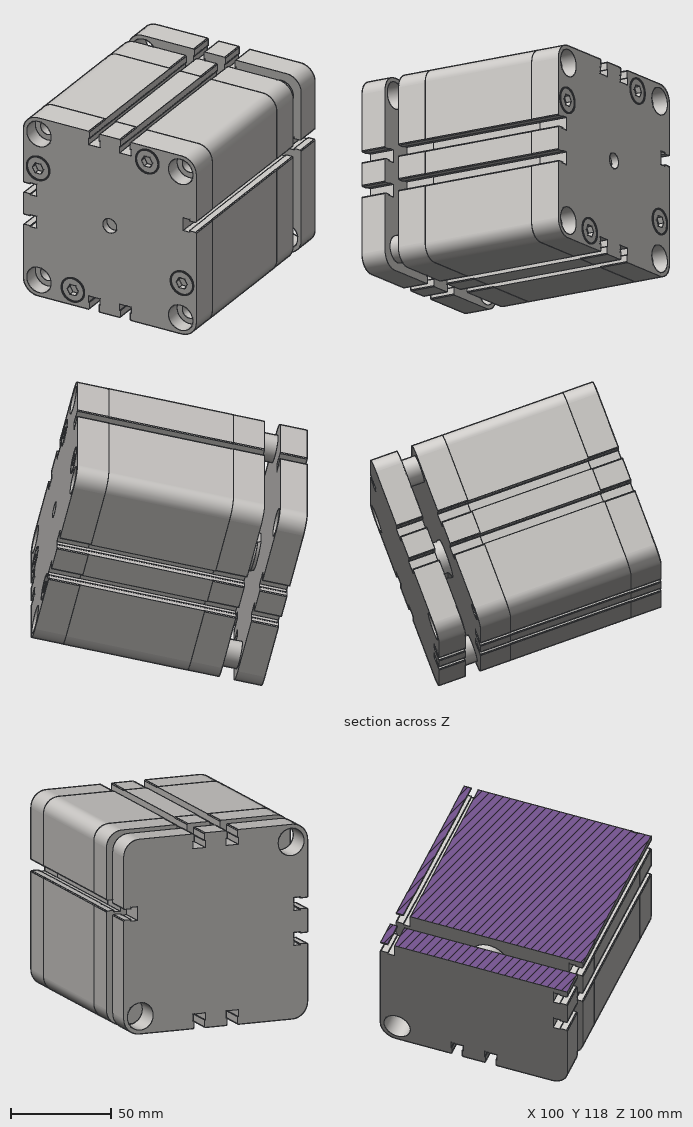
import cadquery as cq
import math


total_length = 118.0
rear_cap_length = 16.0
front_cap_length = 16.0
plate_thickness = 13.9
plate_gap = 8.0
plate_back = total_length - plate_thickness
front_cap_end = plate_back - plate_gap
barrel_end = front_cap_end - front_cap_length

cap_width = 100.0
cap_corner_radius = 8.5
barrel_inset = 0.1
barrel_width = cap_width - 2 * barrel_inset
barrel_corner_radius = 7.9

slot_depth = 7.5
lip_depth = 4.0
mouth_width = 5.5
mouth_chamfer = 0.5
groove_width = 6.6
wide_groove_width = 7.1
slot_offset = 9.0
single_slot_offset = 11.9

top_side = 0
bottom_side = 180
left_side = -90
right_side = 90

mount_offset = 41.0
mount_bore_diameter = 8.0
counterbore_diameter = 14.0
counterbore_depth = 8.5

guide_offset = 38.5
guide_diameter = 14.0

screw_edge_offset = 41.5
screw_side_offset = 21.5
screw_seat_diameter = 13.5
screw_head_diameter = 12.5
screw_groove_depth = 0.5
hex_across_flats = 5.5
hex_depth = 3.1

centre_hole_diameter = 8.0
centre_hole_depth = 4.0

rod_diameter = 20.0
rod_across_flats = 17.0
rod_flat_length = 6.0
rod_tip_reduction = 0.6
rod_tip_length = 1.7


def section_at(y):
    """Sketch plane across the axis, with sketch axes X and Z; negative extrusion goes toward +Y."""
    return cq.Workplane("XZ", origin=(0, y, 0))


def cylinders(points, diameter, y_start, y_end):
    return section_at(y_start).pushPoints(points).circle(diameter / 2).extrude(y_start - y_end)


def t_slot(y_start, y_end, face, offset, side_angle, inner_width, chamfered):
    """T-slot cutter sunk in a +Z face, shifted along X, then turned about Y to its side."""
    half_mouth = mouth_width / 2
    half_inner = inner_width / 2
    half_opening = half_mouth + (mouth_chamfer if chamfered else 0)
    half_profile = [
        (half_opening, face),
        (half_mouth, face - mouth_chamfer),
        (half_mouth, face - lip_depth),
        (half_inner, face - lip_depth),
        (half_inner, face - slot_depth),
    ]
    right_points = [(offset + x, z) for x, z in half_profile]
    left_points = [(offset - x, z) for x, z in reversed(half_profile)]
    cutter = section_at(y_start).polyline(right_points + left_points).close().extrude(y_start - y_end)
    return cutter.rotate((0, 0, 0), (0, 1, 0), side_angle)


def slotted_block(y_start, y_end, width, corner_radius, chamfered_sides):
    """Rounded square block with slot pairs on three sides and one wider slot on +X."""
    block = section_at(y_start).rect(width, width).extrude(y_start - y_end)
    block = block.edges("|Y").fillet(corner_radius)
    slots = [
        (side, offset, groove_width)
        for side in (top_side, bottom_side, left_side)
        for offset in (-slot_offset, slot_offset)
    ]
    slots.append((right_side, -single_slot_offset, wide_groove_width))
    for side, offset, inner_width in slots:
        chamfered = side in chamfered_sides
        block = block.cut(t_slot(y_start, y_end, width / 2, offset, side, inner_width, chamfered))
    return block


def piston_rod():
    """Round rod with a tapered tip at the plate and two wrench flats that run out at 45 degrees."""
    radius = rod_diameter / 2
    half_flats = rod_across_flats / 2
    flat_rise = radius - half_flats
    flat_end = plate_back - rod_flat_length
    rod = (
        cq.Workplane("XY")
        .moveTo(0, front_cap_end)
        .lineTo(radius, front_cap_end)
        .lineTo(radius, plate_back - rod_tip_length)
        .lineTo(radius - rod_tip_reduction, plate_back)
        .lineTo(0, plate_back)
        .close()
        .revolve(360, (0, 0, 0), (0, 1, 0))
    )
    flat_cutter = (
        cq.Workplane("XY")
        .moveTo(half_flats, plate_back)
        .lineTo(half_flats, flat_end)
        .lineTo(half_flats + flat_rise, flat_end - flat_rise)
        .lineTo(half_flats + flat_rise, plate_back)
        .close()
        .extrude(radius, both=True)
    )
    return rod.cut(flat_cutter).cut(flat_cutter.mirror("YZ"))


rod_corners = [(1, 1), (-1, -1)]
open_corners = [(-1, 1), (1, -1)]


def at_corners(corners, offset):
    return [(sx * offset, sz * offset) for sx, sz in corners]


all_sides = (top_side, bottom_side, left_side, right_side)
flank_sides = (left_side, right_side)
rear_cap = slotted_block(0, rear_cap_length, cap_width, cap_corner_radius, all_sides)
barrel = slotted_block(rear_cap_length, barrel_end, barrel_width, barrel_corner_radius, flank_sides)
front_cap = slotted_block(barrel_end, front_cap_end, cap_width, cap_corner_radius, all_sides)
plate = slotted_block(plate_back, total_length, cap_width, cap_corner_radius, all_sides)
guide_rods = cylinders(
    at_corners(rod_corners, guide_offset), guide_diameter, front_cap_end, plate_back
)
body = rear_cap.union(barrel).union(front_cap).union(guide_rods).union(piston_rod()).union(plate)

open_points = at_corners(open_corners, mount_offset)
rod_points = at_corners(rod_corners, mount_offset)
body = body.cut(cylinders(open_points + rod_points, counterbore_diameter, 0, counterbore_depth))
body = body.cut(cylinders(rod_points, mount_bore_diameter, 0, barrel_end))
body = body.cut(cylinders(open_points, mount_bore_diameter, 0, front_cap_end))
body = body.cut(cylinders(open_points, counterbore_diameter, plate_back, total_length))

screw_points = [
    (-screw_edge_offset, screw_side_offset),
    (screw_side_offset, screw_edge_offset),
    (screw_edge_offset, -screw_side_offset),
    (-screw_side_offset, -screw_edge_offset),
]
screw_seats = cylinders(screw_points, screw_seat_diameter, 0, screw_groove_depth)
screw_heads = cylinders(screw_points, screw_head_diameter, 0, screw_groove_depth)
hex_across_corners = hex_across_flats / math.cos(math.radians(30))
hex_sockets = (
    section_at(0).pushPoints(screw_points).polygon(6, hex_across_corners).extrude(-hex_depth)
)
body = body.cut(screw_seats.cut(screw_heads)).cut(hex_sockets)

result = body.cut(cylinders([(0, 0)], centre_hole_diameter, 0, centre_hole_depth))